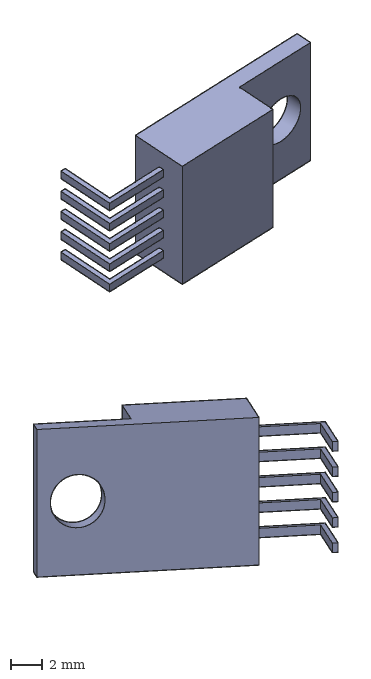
import cadquery as cq

body_thickness = 4.32
body_length = 8.13
package_width = 9.91

tab_thickness = 1.24
tab_length = 6.37
hole_diameter = 3.56
hole_to_tab_end = 2.67

lead_count = 5
lead_pitch = 1.7
lead_row_offset = -0.08
lead_width = 0.64
lead_thickness = 0.38
lead_reach = 4.81
lead_rear_overhang = 1.9
lead_front_x = 2.58

lead_end_y = -lead_reach
tab_end_y = body_length + tab_length


def make_body():
    return cq.Workplane("XY").box(
        body_thickness, body_length, package_width, centered=(False, False, True)
    )


def make_tab():
    tab = (
        cq.Workplane("XY")
        .box(tab_thickness, tab_length, package_width, centered=(False, False, True))
        .translate((0, body_length, 0))
    )
    hole = (
        cq.Workplane("YZ")
        .center(tab_end_y - hole_to_tab_end, 0)
        .circle(hole_diameter / 2)
        .extrude(tab_thickness)
    )
    return tab.cut(hole)


def make_lead(center_z):
    """L-shaped lead: straight out of the body end, then square to the rear."""
    lead_back_x = lead_front_x - lead_thickness
    bend_inner_y = lead_end_y + lead_thickness
    return (
        cq.Workplane("XY")
        .moveTo(lead_front_x, 0)
        .lineTo(lead_front_x, lead_end_y)
        .lineTo(-lead_rear_overhang, lead_end_y)
        .lineTo(-lead_rear_overhang, bend_inner_y)
        .lineTo(lead_back_x, bend_inner_y)
        .lineTo(lead_back_x, 0)
        .close()
        .extrude(lead_width / 2, both=True)
        .translate((0, 0, center_z))
    )


result = make_body().union(make_tab())
for index in range(lead_count):
    lead_z = (index - (lead_count - 1) / 2) * lead_pitch + lead_row_offset
    result = result.union(make_lead(lead_z))